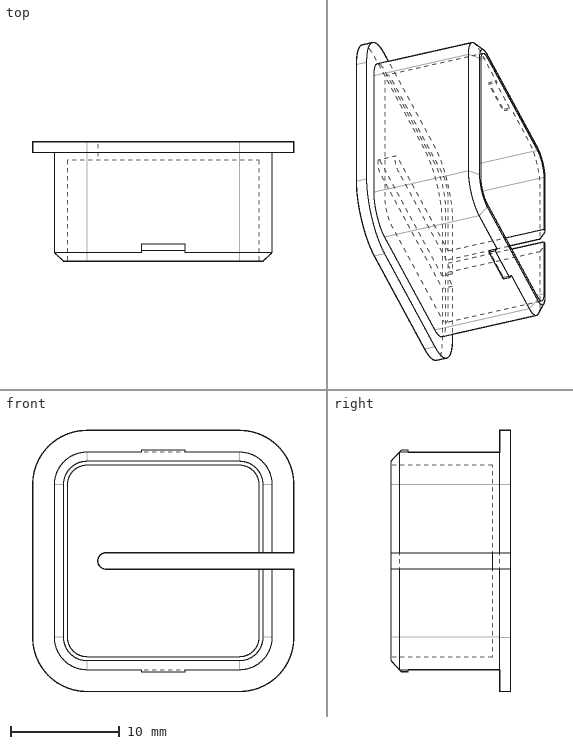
import cadquery as cq

flange_side = 24.0
flange_thickness = 1.0
flange_radius = 5.0
total_depth = 11.0

plug_side = 20.0
plug_radius = 3.0
wall = 1.2
floor_thickness = 1.68
lead_in_width = 0.85
lead_in_depth = 0.8

slot_width = 1.5
slot_end_x = -6.0

rib_length = 4.03
rib_height = 0.2
rib_back_gap = 1.58

back_y = total_depth / 2
front_y = -back_y


def rounded_square(side, radius, start_y, depth):
    """Rounded square block extruded from start_y toward -Y."""
    return (
        cq.Workplane("XZ", origin=(0, start_y, 0))
        .rect(side, side)
        .extrude(depth)
        .edges("|Y")
        .fillet(radius)
    )


def make_plug():
    plug = rounded_square(plug_side, plug_radius, back_y, total_depth)
    return plug.faces("<Y").chamfer(lead_in_depth, lead_in_width)


def make_cavity():
    return rounded_square(
        plug_side - 2 * wall,
        plug_radius - wall,
        back_y - floor_thickness,
        total_depth - floor_thickness,
    )


def make_ribs():
    """One bar through the plug forms both ribs, whose fronts continue the lead-in slope.

    The cavity removes the middle of the bar.
    """
    plug_half = plug_side / 2
    rib_top = plug_half + rib_height
    slope_start_y = front_y + lead_in_depth
    rib_front_y = slope_start_y + rib_height * lead_in_depth / lead_in_width
    rib_back_y = front_y + rib_back_gap
    return (
        cq.Workplane("YZ")
        .moveTo(rib_back_y, -rib_top)
        .lineTo(rib_back_y, rib_top)
        .lineTo(rib_front_y, rib_top)
        .lineTo(slope_start_y, plug_half)
        .lineTo(slope_start_y, -plug_half)
        .lineTo(rib_front_y, -rib_top)
        .close()
        .extrude(rib_length / 2, both=True)
    )


def make_slot():
    slot_radius = slot_width / 2
    straight_start = slot_end_x + slot_radius
    slot_exit = flange_side / 2
    return (
        cq.Workplane("XZ", origin=(0, back_y, 0))
        .moveTo(slot_exit, slot_radius)
        .lineTo(straight_start, slot_radius)
        .threePointArc((slot_end_x, 0), (straight_start, -slot_radius))
        .lineTo(slot_exit, -slot_radius)
        .close()
        .extrude(total_depth)
    )


flange = rounded_square(flange_side, flange_radius, back_y, flange_thickness)
result = flange.union(make_plug()).union(make_ribs()).cut(make_cavity()).cut(make_slot())